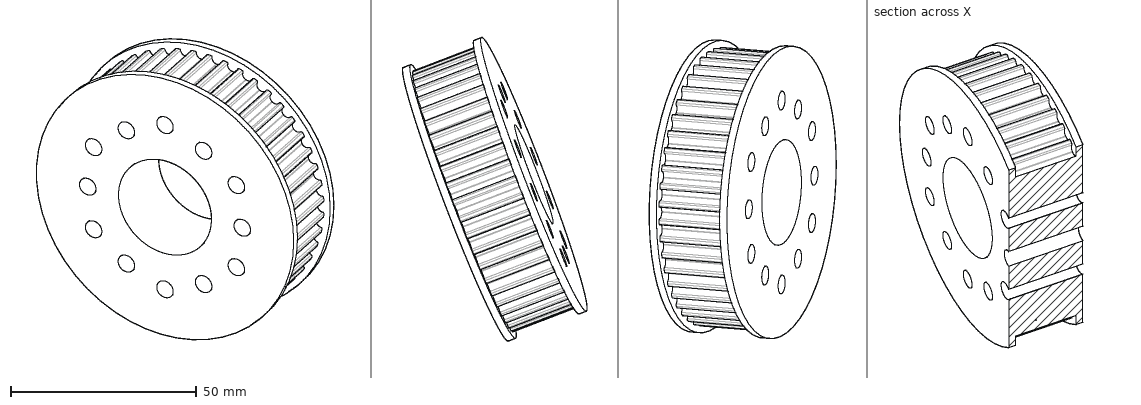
import cadquery as cq
import math

flange_diameter = 79.25
pulley_width = 22.7
flange_thickness = 2.15
bore_diameter = 28.6

tooth_count = 48
tip_diameter = 75.45
groove_half_opening = 1.6
groove_floor_width = 0.15
tip_fillet_radius = 0.43

bolt_hole_diameter = 5.1
holes_per_ring = 6
inner_ring_radius = 23.8
outer_ring_radius = 25.35

toothed_width = pulley_width - 2 * flange_thickness
hole_pitch_angle = 360 / holes_per_ring

tip_radius = tip_diameter / 2
floor_half_width = groove_floor_width / 2
flank_radius = groove_half_opening - floor_half_width
fillet_offset = groove_half_opening + tip_fillet_radius
fillet_reach = tip_radius - tip_fillet_radius
flank_height = math.sqrt(fillet_reach**2 - fillet_offset**2)
floor_height = flank_height - flank_radius
land_start_angle = math.asin(fillet_offset / fillet_reach)


def arc_point(center, radius, angle):
    return (center[0] + radius * math.cos(angle), center[1] + radius * math.sin(angle))


def mirrored(point):
    return (-point[0], point[1])


def rotated(point, angle):
    """Turn a section point clockwise about the pulley axis."""
    across, outward = point
    return (
        across * math.cos(angle) + outward * math.sin(angle),
        outward * math.cos(angle) - across * math.sin(angle),
    )


def add_groove(outline, turn):
    """Draw one groove, turned about the axis, from the tip on its left to the tip on its right."""
    fillet_center = (fillet_offset, flank_height)
    flank_center = (floor_half_width, flank_height)
    tip_angle = math.pi / 2 - land_start_angle

    floor_end = (floor_half_width, floor_height)
    flank_middle = arc_point(flank_center, flank_radius, -math.pi / 4)
    flank_end = (groove_half_opening, flank_height)
    fillet_middle = arc_point(fillet_center, tip_fillet_radius, (math.pi + tip_angle) / 2)
    fillet_end = arc_point(fillet_center, tip_fillet_radius, tip_angle)

    return (
        outline
        .threePointArc(rotated(mirrored(fillet_middle), turn), rotated(mirrored(flank_end), turn))
        .threePointArc(rotated(mirrored(flank_middle), turn), rotated(mirrored(floor_end), turn))
        .lineTo(*rotated(floor_end, turn))
        .threePointArc(rotated(flank_middle, turn), rotated(flank_end, turn))
        .threePointArc(rotated(fillet_middle, turn), rotated(fillet_end, turn))
    )


def tooth_outline():
    """Closed outline of the toothed rim on its front face, one groove and one tooth tip per step."""
    pitch_angle = 2 * math.pi / tooth_count
    tip_point = (0, tip_radius)

    outline = cq.Workplane("XZ", origin=(0, -toothed_width / 2, 0))
    outline = outline.moveTo(*rotated(tip_point, -land_start_angle))
    for index in range(tooth_count):
        turn = index * pitch_angle
        next_turn = turn + pitch_angle
        outline = add_groove(outline, turn).threePointArc(
            rotated(tip_point, turn + pitch_angle / 2),
            rotated(tip_point, next_turn - land_start_angle),
        )
    return outline.close()


def flange(start):
    """Flange disc whose front face lies at the given Y position."""
    return (
        cq.Workplane("XZ", origin=(0, start, 0))
        .circle(flange_diameter / 2)
        .extrude(-flange_thickness)
    )


def through_holes():
    """Cutter for the bore and both bolt hole rings."""
    face = cq.Workplane("XZ", origin=(0, -pulley_width / 2, 0))
    bore = face.circle(bore_diameter / 2).extrude(-pulley_width)
    inner_ring = (
        face.polarArray(inner_ring_radius, 0, 360, holes_per_ring)
        .circle(bolt_hole_diameter / 2)
        .extrude(-pulley_width)
    )
    outer_ring = (
        face.polarArray(outer_ring_radius, hole_pitch_angle / 2, 360, holes_per_ring)
        .circle(bolt_hole_diameter / 2)
        .extrude(-pulley_width)
    )
    return bore.union(inner_ring).union(outer_ring)


toothed_rim = tooth_outline().extrude(-toothed_width)
front_flange = flange(-pulley_width / 2)
back_flange = flange(toothed_width / 2)

result = toothed_rim.union(front_flange).union(back_flange).cut(through_holes())